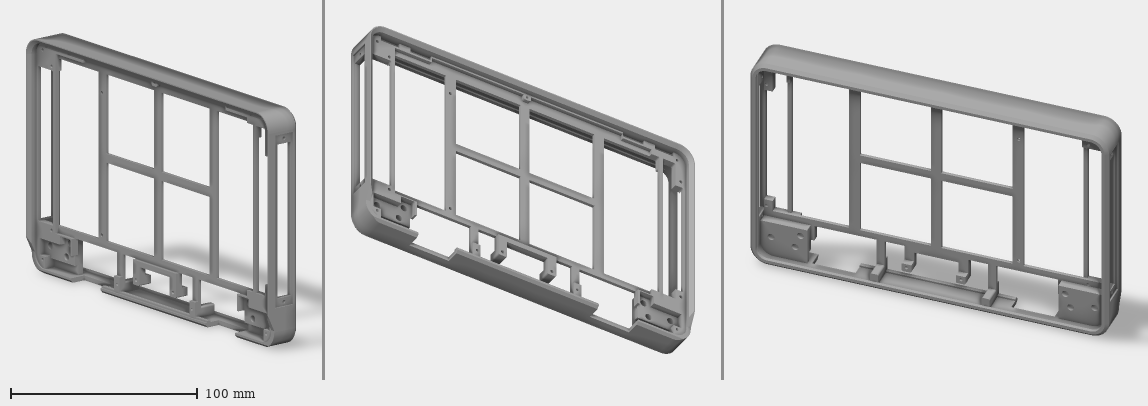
import cadquery as cq

WIDTH = 205.5
DEPTH = 20.7
HEIGHT = 131.0
CORNER_RADIUS = 10.0
BACK_CHAMFER = 1.8
BOTTOM_CHAMFER = 1.5

FRONT_Y = -DEPTH / 2
BACK_Y = DEPTH / 2
HALF_HEIGHT = HEIGHT / 2

RIM = 2.7
RIM_EDGE = 0.6
RIM_BEVEL_DEPTH = 1.8

STEP_DEPTH = 4.1
STEP_START_Z = -46.0
STEP_END_Z = -54.6
STEP_Y = FRONT_Y + STEP_DEPTH

FLOOR_Y = -5.3
GRID_Y = -3.0
PLATE_BACK_Y = -1.2
THIN_BACK_Y = -3.0

SIDE_WALL = 4.1
LIP = 3.7
LIP_THICKNESS = 2.0
INNER_Z = HALF_HEIGHT - RIM
LIP_Z = HALF_HEIGHT - LIP

GRID_TOP = 55.7
GRID_BOTTOM = -37.4
GRID_OUTER_X = 83.5
SIDE_COLUMN_X = 50.0
CELL_OUTER_X = 43.8
CELL_INNER_X = 2.9
CROSSBAR_TOP = 11.5
CROSSBAR_BOTTOM = 6.5
OPENING_FILLET = 0.8

SIDE_OPENING_INNER_X = 85.9
SIDE_OPENING_OUTER_X = WIDTH / 2 - SIDE_WALL
LEFT_OPENING_TOP = 48.7
RIGHT_TAB_X = 93.7
RIGHT_TAB_TOP_Z = 40.7
RIGHT_TAB_BOTTOM_Z = -30.8

RECESS_RIGHT_X = 78.5
RECESS_TOP_Z = 58.7
RECESS_BOTTOM_Z = -41.3
RECESS_RAISED_X = 60.4
TOP_BOSS_WIDTH = 4.7
TOP_BOSS_FILLET = 1.2

TOP_POCKETS_X = ((60.5, 73.7), (80.7, 92.5))
TOP_POCKET_BOTTOM_Z = 60.0
TOP_POCKET_DEPTH = 2.0

HINGE_INNER_X = 71.9
HINGE_BACK_Y = 4.0
HINGE_FLOOR_Y = -1.6
FIN_INNER_X = 69.8
FIN_OUTER_X = 71.0
FIN_BOTTOM_Z = -50.7
HINGE_OUTER_X = 97.4
HINGE_TOP_Z = -46.6
TOWER_X = 80.0
TOWER_TOP_Z = -42.0
TOWER_FILLET = 0.8
HINGE_POCKET_BOTTOM_Z = -56.0
BAND_X = 92.5
BAND_TOP_Z = -57.3
BAND_Y = 1.0
HINGE_HOLES = ((75.8, -45.8), (92.6, -50.7), (78.9, -53.8))
HINGE_HOLE_DIAMETER = 4.0

NOTCH_INNER_X = 44.5
NOTCH_OUTER_X = 69.5
NOTCH_BACK_Y = 2.9

POST_INNER_X = 29.5
POST_OUTER_X = 34.3
POST_BOSS_TOP_Z = -53.8
POST_REAR_TOP_Z = -56.9
POST_FOOT_FILLET = 1.0
POST_HOLE_X = 31.6

BRACKET_OUTER_X = 18.3
BRACKET_INNER_X = 12.7
BRACKET_BAR_BOTTOM_Z = -44.4
BRACKET_BOTTOM_Z = -55.0
BRACKET_FOOT_TOP_Z = -50.1
BRACKET_FOOT_BACK_Y = 2.7
BRACKET_HOLE = (15.6, -52.4)

SCREW_DIAMETER = 2.0
BLIND_DIAMETER = 1.8
BLIND_DEPTH = 2.9
BOSS_HOLE_DIAMETER = 1.6
LOW_HOLE_Z = -58.1
CORNER_HOLE_X = 94.7
CORNER_HOLES_Z = (58.3, LOW_HOLE_Z)
TOP_BOSS_HOLE_Z = 60.5
LEFT_HOLES = ((-87.0, 51.0), (-87.0, -40.3))
GRID_HOLES = ((-47.2, 44.5), (-47.2, -34.7))
RIGHT_HOLES = ((97.2, 44.5), (97.2, -34.7))

VENT_TOP_Z = 53.8
VENT_BOTTOM_Z = -42.1
VENT_FRONT_Y = -5.3
VENT_BACK_Y = 7.0
VENT_POCKET_DEPTH = 1.0
VENT_SLOT_TOP_Z = 48.3
VENT_SLOT_BOTTOM_Z = -37.4
VENT_SLOT_FRONT_Y = -3.0
VENT_SLOT_BACK_Y = 6.4
VENT_HOLE_Y = 1.2
VENT_HOLES_Z = (51.0, -39.8)


def box(x0, x1, y0, y1, z0, z1):
    """Axis-aligned box between pairs of opposite faces, given in any order."""
    size = (abs(x1 - x0), abs(y1 - y0), abs(z1 - z0))
    middle = ((x0 + x1) / 2, (y0 + y1) / 2, (z0 + z1) / 2)
    return cq.Workplane("XY").box(*size).translate(middle)


def both_sides(shape):
    """The shape together with its mirror image across the YZ plane."""
    return shape.union(shape.mirror("YZ"))


def xz_plane(y):
    """Workplane at depth y whose extrusions run towards the back."""
    return cq.Workplane(cq.Plane((0, y, 0), xDir=(-1, 0, 0), normal=(0, 1, 0)))


def outline_slab(inset, y0, y1, side_inset=None):
    """Slab with the outer rounded outline moved inwards."""
    side_inset = inset if side_inset is None else side_inset
    slab = box(
        -WIDTH / 2 + side_inset, WIDTH / 2 - side_inset, y0, y1, -HALF_HEIGHT + inset, HALF_HEIGHT - inset
    )
    return slab.edges("|Y").fillet(CORNER_RADIUS - inset)


def rounded_sketch(inset):
    """Outer outline moved inwards, as a sketch."""
    outline = cq.Sketch().rect(WIDTH - 2 * inset, HEIGHT - 2 * inset)
    return outline.vertices().fillet(CORNER_RADIUS - inset)


def drill(points, diameter, y0, y1):
    """Cylinders along Y at the given (x, z) points."""
    mirrored = [(-x, z) for x, z in points]
    return xz_plane(y0).pushPoints(mirrored).circle(diameter / 2).extrude(y1 - y0)


def make_shell():
    """Outer shell with its rim, lower front step and hollow rear."""
    shell = outline_slab(0, FRONT_Y, BACK_Y)
    shell = shell.faces(">Y").edges().chamfer(BACK_CHAMFER)
    step = (
        cq.Workplane("YZ")
        .polyline([
            (FRONT_Y, STEP_START_Z),
            (STEP_Y, STEP_END_Z),
            (STEP_Y, -HEIGHT),
            (FRONT_Y - DEPTH, -HEIGHT),
            (FRONT_Y - DEPTH, STEP_START_Z),
        ])
        .close()
        .extrude(WIDTH, both=True)
    )
    shell = shell.cut(step)
    bottom_chamfer = (
        cq.Workplane("YZ")
        .polyline([
            (STEP_Y, -HALF_HEIGHT),
            (STEP_Y + BOTTOM_CHAMFER, -HALF_HEIGHT),
            (STEP_Y, BOTTOM_CHAMFER - HALF_HEIGHT),
        ])
        .close()
        .extrude(WIDTH, both=True)
    )
    shell = shell.cut(bottom_chamfer)

    bevel = (
        xz_plane(FRONT_Y)
        .placeSketch(
            rounded_sketch(RIM_EDGE),
            rounded_sketch(RIM).moved(cq.Location(cq.Vector(0, 0, RIM_BEVEL_DEPTH))),
        )
        .loft()
    )
    front_well = outline_slab(RIM, FRONT_Y, FLOOR_Y)
    rear_well = outline_slab(RIM, PLATE_BACK_Y, BACK_Y - LIP_THICKNESS, SIDE_WALL)
    rear_mouth = outline_slab(LIP, BACK_Y - LIP_THICKNESS, BACK_Y)
    return shell.cut(bevel).cut(front_well).cut(rear_well).cut(rear_mouth)


def make_grid_recess():
    """Step that lowers the grid below the floor plate, leaving the top screw boss."""
    recess = box(-GRID_OUTER_X, RECESS_RIGHT_X, FLOOR_Y, GRID_Y, RECESS_BOTTOM_Z, RECESS_TOP_Z)
    raised = box(-RECESS_RAISED_X, RECESS_RAISED_X, FLOOR_Y, GRID_Y, GRID_TOP, LIP_Z)
    boss = box(-TOP_BOSS_WIDTH / 2, TOP_BOSS_WIDTH / 2, FLOOR_Y, GRID_Y, RECESS_TOP_Z, LIP_Z)
    boss = boss.edges("|Y and <Z").fillet(TOP_BOSS_FILLET)
    return recess.union(raised).cut(boss)


def make_plate_openings():
    """Through openings of the grid and of the areas beside and below it."""
    y0, y1 = FLOOR_Y, PLATE_BACK_Y
    column = box(SIDE_COLUMN_X, GRID_OUTER_X, y0, y1, GRID_BOTTOM, GRID_TOP)
    column = column.edges("|Y and >X and >Z").fillet(OPENING_FILLET)
    upper_cell = box(CELL_INNER_X, CELL_OUTER_X, y0, y1, CROSSBAR_TOP, GRID_TOP)
    lower_cell = box(CELL_INNER_X, CELL_OUTER_X, y0, y1, GRID_BOTTOM, CROSSBAR_BOTTOM)
    openings = both_sides(column.union(upper_cell).union(lower_cell))

    left = box(-SIDE_OPENING_OUTER_X, -SIDE_OPENING_INNER_X, y0, y1, GRID_BOTTOM, LEFT_OPENING_TOP)
    left = left.edges("|Y and >Z").fillet(OPENING_FILLET)
    right = box(SIDE_OPENING_INNER_X, RIGHT_TAB_X, y0, y1, GRID_BOTTOM, GRID_TOP)
    right = right.edges("|Y and >X and >Z").fillet(OPENING_FILLET)
    right_wide = box(
        SIDE_OPENING_INNER_X, SIDE_OPENING_OUTER_X, y0, y1, RIGHT_TAB_BOTTOM_Z, RIGHT_TAB_TOP_Z
    )
    right_wide = right_wide.edges("|Y and >X and >Z").fillet(OPENING_FILLET)

    below = box(-HINGE_INNER_X, HINGE_INNER_X, y0, y1, -LIP_Z, RECESS_BOTTOM_Z)
    beside_ridge = both_sides(box(NOTCH_INNER_X, HINGE_INNER_X, y0, y1, -INNER_Z, -LIP_Z))
    return openings.union(left).union(right).union(right_wide).union(below).union(beside_ridge)


def make_thinning():
    """Rear cuts that thin the two bars beside the grid and the ridge on the bottom wall."""
    bar = box(GRID_OUTER_X, SIDE_OPENING_INNER_X, THIN_BACK_Y, PLATE_BACK_Y, GRID_BOTTOM, LEFT_OPENING_TOP)
    ridge = box(-NOTCH_INNER_X, NOTCH_INNER_X, THIN_BACK_Y, PLATE_BACK_Y, -INNER_Z, -LIP_Z)
    return both_sides(bar).union(ridge)


def make_top_pockets():
    """Shallow pockets in the floor plate under the top wall."""
    y1 = FLOOR_Y + TOP_POCKET_DEPTH
    pockets = cq.Workplane("XY")
    for x0, x1 in TOP_POCKETS_X:
        pockets = pockets.add(box(x0, x1, FLOOR_Y, y1, TOP_POCKET_BOTTOM_Z, INNER_Z))
    return both_sides(pockets.combine())


def make_hinge_blocks():
    """Solid corner blocks that carry the hinge pockets, with a fin on the inner side."""
    block = box(
        HINGE_INNER_X, SIDE_OPENING_OUTER_X, FLOOR_Y, HINGE_BACK_Y, -INNER_Z, RECESS_BOTTOM_Z
    ).intersect(outline_slab(RIM, FLOOR_Y, HINGE_BACK_Y))
    fin = box(FIN_INNER_X, HINGE_INNER_X, FLOOR_Y, PLATE_BACK_Y, FIN_BOTTOM_Z, RECESS_BOTTOM_Z)
    return both_sides(block.union(fin))


def make_hinge_pockets():
    """Stepped pockets and holes cut into the hinge blocks."""
    tower = box(FIN_OUTER_X, TOWER_X, FLOOR_Y, HINGE_FLOOR_Y, FIN_BOTTOM_Z, TOWER_TOP_Z)
    tower = tower.edges("|Y and >Z").fillet(TOWER_FILLET)
    arm = box(FIN_OUTER_X, HINGE_OUTER_X, FLOOR_Y, HINGE_FLOOR_Y, HINGE_POCKET_BOTTOM_Z, HINGE_TOP_Z)
    runout = box(FIN_INNER_X, BAND_X, FLOOR_Y, HINGE_FLOOR_Y, -INNER_Z, FIN_BOTTOM_Z)
    band = box(FIN_INNER_X, BAND_X, FLOOR_Y, BAND_Y, -INNER_Z, BAND_TOP_Z)
    holes = drill(HINGE_HOLES, HINGE_HOLE_DIAMETER, FLOOR_Y, HINGE_BACK_Y)
    return both_sides(tower.union(arm).union(runout).union(band).union(holes))


def make_posts():
    """Posts from the grid to the bottom wall, with a rear foot and a screw boss."""
    x0, x1 = POST_INNER_X, POST_OUTER_X
    foot_back_y = BACK_Y - LIP_THICKNESS
    post = box(x0, x1, GRID_Y, PLATE_BACK_Y, -INNER_Z, RECESS_BOTTOM_Z)
    boss = box(x0, x1, FLOOR_Y, GRID_Y, -INNER_Z, POST_BOSS_TOP_Z)
    foot = box(x0, x1, PLATE_BACK_Y, foot_back_y, -INNER_Z, POST_REAR_TOP_Z)
    foot = foot.edges("|Y and >Z").fillet(POST_FOOT_FILLET)
    return both_sides(post.union(boss).union(foot))


def make_bracket():
    """Downward U-shaped bracket under the grid."""
    bar = box(
        -BRACKET_OUTER_X, BRACKET_OUTER_X, FLOOR_Y, PLATE_BACK_Y, BRACKET_BAR_BOTTOM_Z, RECESS_BOTTOM_Z
    )
    leg = box(
        BRACKET_INNER_X, BRACKET_OUTER_X, FLOOR_Y, PLATE_BACK_Y, BRACKET_BOTTOM_Z, RECESS_BOTTOM_Z
    )
    foot = box(
        BRACKET_INNER_X, BRACKET_OUTER_X, FLOOR_Y, BRACKET_FOOT_BACK_Y, BRACKET_BOTTOM_Z, BRACKET_FOOT_TOP_Z
    )
    leg = leg.edges("|Y and <Z").fillet(OPENING_FILLET)
    foot = foot.edges("|Y and <Z").fillet(OPENING_FILLET)
    return bar.union(both_sides(leg.union(foot)))


def make_bottom_notches():
    """Notches in the bottom wall, open to the front."""
    return both_sides(box(NOTCH_INNER_X, NOTCH_OUTER_X, FRONT_Y, NOTCH_BACK_Y, -HEIGHT, -INNER_Z))


def make_vents():
    """Shallow outer pocket, through slot and screw holes in each side wall."""
    outer_x = WIDTH / 2
    inner_x = outer_x - SIDE_WALL
    pocket = box(
        outer_x - VENT_POCKET_DEPTH, outer_x, VENT_FRONT_Y, VENT_BACK_Y, VENT_BOTTOM_Z, VENT_TOP_Z
    )
    slot = box(
        inner_x, outer_x, VENT_SLOT_FRONT_Y, VENT_SLOT_BACK_Y, VENT_SLOT_BOTTOM_Z, VENT_SLOT_TOP_Z
    )
    holes = (
        cq.Workplane("YZ", origin=(inner_x, 0, 0))
        .pushPoints([(VENT_HOLE_Y, z) for z in VENT_HOLES_Z])
        .circle(SCREW_DIAMETER / 2)
        .extrude(SIDE_WALL)
    )
    return both_sides(pocket.union(slot).union(holes))


def make_screw_holes():
    """Through holes and blind holes that enter from the front."""
    leg_x, leg_z = BRACKET_HOLE
    bracket_holes = ((leg_x, leg_z), (-leg_x, leg_z))
    through = LEFT_HOLES + GRID_HOLES + RIGHT_HOLES + bracket_holes
    blind = [(side * CORNER_HOLE_X, z) for side in (-1, 1) for z in CORNER_HOLES_Z]
    boss = [(-POST_HOLE_X, LOW_HOLE_Z), (POST_HOLE_X, LOW_HOLE_Z), (0, TOP_BOSS_HOLE_Z)]
    holes = drill(through, SCREW_DIAMETER, FLOOR_Y, HINGE_BACK_Y)
    holes = holes.union(drill(blind, BLIND_DIAMETER, FLOOR_Y, FLOOR_Y + BLIND_DEPTH))
    return holes.union(drill(boss, BOSS_HOLE_DIAMETER, FLOOR_Y, FLOOR_Y + BLIND_DEPTH))


result = (
    make_shell()
    .cut(make_plate_openings())
    .cut(make_thinning())
    .cut(make_grid_recess())
    .cut(make_top_pockets())
    .union(make_hinge_blocks())
    .cut(make_hinge_pockets())
    .union(make_posts())
    .union(make_bracket())
    .cut(make_bottom_notches())
    .cut(make_vents())
    .cut(make_screw_holes())
)